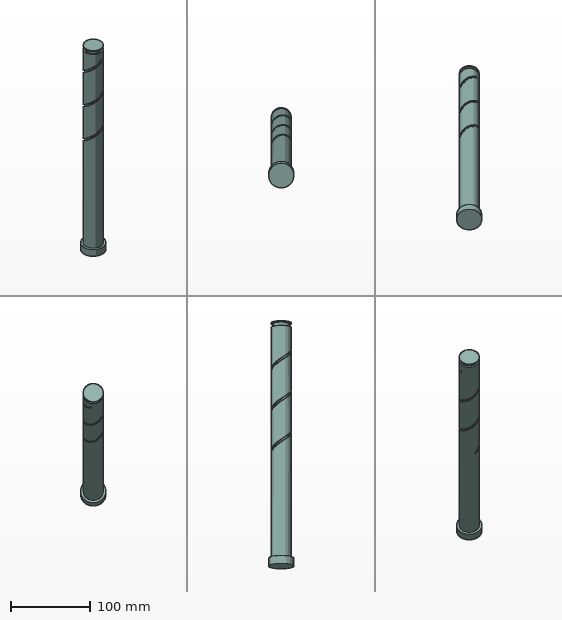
import cadquery as cq

total_height = 315
base_diameter = 32.0
base_height = 10.5
body_diameter = 25.5
neck_diameter = 20.8
neck_height = 4.5
cap_thickness = 1.5

groove_pitch = 52.5
groove_turns = 2.75
groove_start_height = 151.0
groove_width = 3.0
groove_depth = 1.5

body_radius = body_diameter / 2
cap_bottom = total_height - cap_thickness
body_top = cap_bottom - neck_height


def cylinder(diameter, bottom, top):
    """Upright cylinder on the Z axis between two heights."""
    return cq.Workplane("XY").workplane(offset=bottom).circle(diameter / 2).extrude(top - bottom)


def spiral_groove_cutter():
    """Rectangular strip swept along a helix, reaching groove_depth into the body."""
    helix = cq.Wire.makeHelix(
        groove_pitch,
        groove_pitch * groove_turns,
        body_radius,
        center=cq.Vector(0, 0, groove_start_height),
    )
    strip = (
        cq.Workplane("XZ")
        .center(body_radius, groove_start_height)
        .rect(2 * groove_depth, groove_width)
        .sweep(cq.Workplane(helix), isFrenet=True)
    )
    return strip.rotate((0, 0, 0), (0, 0, 1), 90)


base = cylinder(base_diameter, 0, base_height)
body = cylinder(body_diameter, base_height, body_top)
neck = cylinder(neck_diameter, body_top, cap_bottom)
cap = cylinder(body_diameter, cap_bottom, total_height)

grooved_body = body.cut(spiral_groove_cutter())
result = grooved_body.union(base).union(neck).union(cap)